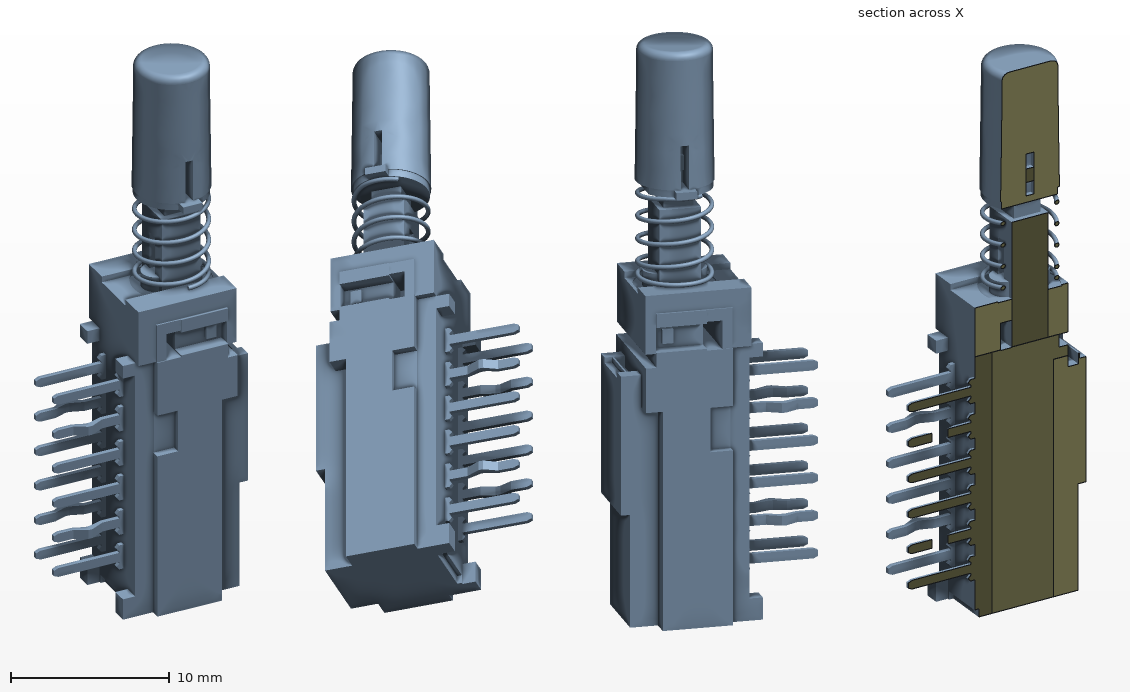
import cadquery as cq
import math


frame_half_x = 3.48
frame_front = -4.1
frame_back = 2.85
frame_bottom = 18.35
frame_top = 22.25
pad_half_x = 3.6
groove_half_x = 1.65
groove_floor = 21.85
seat_radius = 2.65
seat_depth = 0.08
boss_radius = 1.0
boss_y = 1.1
boss_top = 22.83
slot_front = -2.15
slot_top = 20.25

shell_width = 7.3
shell_half_x = shell_width / 2
shell_front = -2.85
shell_low_back = 1.75
shell_high_back = frame_back
shell_wide_z = 14.55
shell_shoulder_z = 17.5
tongue_front = -1.15
tongue_back = 2.15
tongue_top = 21.05
tongue_inner_x = 2.35
pocket_floor_x = 2.72
pocket_bottom = 18.48
pocket_top = 20.15
peg_height = 0.38
peg_front = 0.9
peg_back = 1.62
peg_bottom = 18.85
peg_top = 19.8

base_half_x = 3.02
base_front = frame_front
foot_front = -4.95
foot_inner_x = 1.95
top_foot_height = 0.9
bottom_foot_height = 1.47
base_notch_half_x = 1.8
base_notch_height = 0.55
base_notch_depth = 0.3
tab_inner_x = 2.65
tab_outer_x = 3.1
tab_back = -1.35
tab_bottom = 11.6
tab_top = 14.55

pin_rows = 6
pin_pitch = 2.5
first_pin_z = 3.55
pin_x = 1.25
pin_thickness = 0.3
pin_half_height = 0.32
pin_tip = -9.0
pin_tip_taper_length = 0.3
pin_tip_half_height = 0.2
kinked_rows = (1, 4)
kink_start = -5.6
kink_peak_near = -6.5
kink_peak_far = -6.8
kink_end = -7.65
kink_outer_offset = 0.45
kink_inner_offset = 0.3
shoulder_front = -4.4
barb_front = -4.57
shoulder_half_height = 0.87
barb_half_height = 0.65
barb_inner_half_height = 0.45

cover_half_x = 2.45
cover_thin_back = 3.55
cover_back = 4.15
cover_step_z = 7.5
cover_top = 16.7
recess_half_x = 1.55
lip_front = 3.65
recess_depth = 0.75
lip_drop = 0.38

shaft_half_x = 1.4
shaft_half_y = 1.35
neck_half_x = 0.95
neck_half_y = 1.0
shaft_shoulder_z = 27.17
shaft_groove_half_x = 0.38
shaft_groove_depth = 0.45
shaft_groove_bottom = boss_top
shaft_groove_top = 25.45
catch_reach = 0.35
catch_bottom = 29.65
catch_top = 30.65

cap_top = 37.8
cap_bottom = 28.25
rim_top = 28.75
rim_radius = 2.45
rim_back = 2.05
cap_low_radius = 2.55
cap_high_radius = 2.4
cap_fillet = 0.5
cap_slot_half_y = 0.25
cap_slot_top = 31.65
wing_half_x = 3.02
wing_half_y = 0.68

wire_radius = 0.15
coil_radius = 2.35
coil_pitch = 1.5
ramp_start_angle = 180
ramp_start_z = 22.2
spring_start_angle = 0
spring_end_angle = 1650
spring_angle_step = 15


def block(x_range, y_range, z_range):
    """Box between the given limits along each axis."""
    (x0, x1), (y0, y1), (z0, z1) = x_range, y_range, z_range
    return cq.Workplane("XY").box(x1 - x0, y1 - y0, z1 - z0, centered=False).translate((x0, y0, z0))


def both_sides(shape):
    """The shape together with its mirror image across X = 0."""
    return shape.union(shape.mirror("YZ"))


def mirrored_block(x_range, y_range, z_range):
    return both_sides(block(x_range, y_range, z_range))


def centred_block(half_x, y_range, z_range):
    return block((-half_x, half_x), y_range, z_range)


def shaft_core():
    """Square shaft with its thinner neck, without the groove."""
    y_limits = (-shaft_half_y, shaft_half_y)
    body = centred_block(shaft_half_x, y_limits, (frame_bottom, shaft_shoulder_z))
    neck = centred_block(neck_half_x, (-neck_half_y, neck_half_y), (shaft_shoulder_z, cap_slot_top))
    return body.union(neck)


def make_shaft():
    groove = centred_block(
        shaft_groove_half_x,
        (-shaft_half_y, -shaft_half_y + shaft_groove_depth),
        (shaft_groove_bottom, shaft_groove_top),
    )
    catches = mirrored_block(
        (neck_half_x, neck_half_x + catch_reach),
        (-cap_slot_half_y, cap_slot_half_y),
        (catch_bottom, catch_top),
    )
    return shaft_core().cut(groove).union(catches)


def make_cap():
    sleeve = (
        cq.Workplane("XZ")
        .polyline([(0, rim_top), (cap_low_radius, rim_top), (cap_high_radius, cap_top), (0, cap_top)])
        .close()
        .revolve(360, (0, 0), (0, 1))
        .faces(">Z")
        .edges()
        .fillet(cap_fillet)
    )
    rim = cq.Workplane("XY").workplane(offset=cap_bottom).circle(rim_radius).extrude(rim_top - cap_bottom)
    rim_flat = centred_block(cap_low_radius, (rim_back, cap_low_radius), (cap_bottom, rim_top))
    wings = centred_block(wing_half_x, (-wing_half_y, wing_half_y), (cap_bottom, rim_top))
    slots = centred_block(cap_low_radius, (-cap_slot_half_y, cap_slot_half_y), (rim_top, cap_slot_top))
    return sleeve.union(rim.cut(rim_flat)).union(wings).cut(slots).cut(shaft_core())


def spring_point(angle):
    """Point on the wire's centre line; the ends lie flat against the frame and the cap."""
    turn = math.radians(angle)
    ramp_height = ramp_start_z + coil_pitch * (angle - ramp_start_angle) / 360
    height = min(max(ramp_height, frame_top + wire_radius), cap_bottom - wire_radius)
    return (coil_radius * math.cos(turn), coil_radius * math.sin(turn), height)


def make_spring():
    angles = range(spring_start_angle, spring_end_angle + 1, spring_angle_step)
    path = cq.Workplane("XY").spline([spring_point(angle) for angle in angles])
    wire_end = cq.Plane(origin=path.val().startPoint(), normal=path.val().tangentAt(0))
    return cq.Workplane(wire_end).circle(wire_radius).sweep(path, isFrenet=True)


def tongue_blocks():
    """The two snap tongues of the shell, before their pockets."""
    return mirrored_block(
        (tongue_inner_x, shell_half_x), (tongue_front, tongue_back), (frame_bottom, tongue_top)
    )


def make_frame():
    body = centred_block(frame_half_x, (frame_front, frame_back), (frame_bottom, frame_top))
    pads = mirrored_block(
        (frame_half_x, pad_half_x), (shell_front, tongue_front), (frame_bottom, tongue_top)
    )
    groove = centred_block(groove_half_x, (frame_front, frame_back), (groove_floor, frame_top))
    seat_floor = groove_floor - seat_depth
    seat = (
        cq.Workplane("XY").workplane(offset=seat_floor).circle(seat_radius).extrude(seat_depth)
        .intersect(centred_block(groove_half_x, (-seat_radius, seat_radius), (seat_floor, groove_floor)))
    )
    bosses = (
        cq.Workplane("XY").workplane(offset=seat_floor)
        .pushPoints([(0, -boss_y), (0, boss_y)])
        .circle(boss_radius)
        .extrude(boss_top - seat_floor)
    )
    side_slot = centred_block(shell_half_x, (slot_front, tongue_front), (frame_bottom, slot_top))
    frame = body.union(pads).cut(groove).cut(seat).union(bosses)
    return frame.cut(tongue_blocks()).cut(side_slot).cut(shaft_core())


def cover_outline():
    """Back cover before its top recess."""
    thin = centred_block(cover_half_x, (shell_low_back, cover_thin_back), (0, cover_top))
    thick = centred_block(cover_half_x, (cover_thin_back, cover_back), (cover_step_z, cover_top))
    return thin.union(thick)


def make_back_cover():
    recess = centred_block(
        recess_half_x, (shell_high_back, cover_thin_back), (cover_top - recess_depth, cover_top)
    )
    lip = centred_block(recess_half_x, (lip_front, cover_back), (cover_top - lip_drop, cover_top))
    return cover_outline().cut(recess).cut(lip)


def make_shell():
    low = centred_block(shell_half_x, (shell_front, shell_low_back), (0, shell_wide_z))
    wide = centred_block(shell_half_x, (shell_front, shell_high_back), (shell_wide_z, shell_shoulder_z))
    shoulder = centred_block(shell_half_x, (shell_front, tongue_back), (shell_shoulder_z, frame_bottom))
    pockets = mirrored_block(
        (pocket_floor_x, shell_half_x), (tongue_front, tongue_back), (pocket_bottom, pocket_top)
    )
    pegs = mirrored_block(
        (pocket_floor_x, pocket_floor_x + peg_height), (peg_front, peg_back), (peg_bottom, peg_top)
    )
    tab_notches = mirrored_block(
        (tab_inner_x, shell_half_x), (shell_front, tab_back), (tab_bottom, tab_top)
    )
    shell = low.union(wide).union(shoulder).union(tongue_blocks()).cut(pockets).union(pegs)
    return shell.cut(tab_notches).cut(cover_outline())


def pin_side_profile():
    """Barbed shoulder and tapered tip, as a slab wide enough to hold a kink."""
    upper = [
        (base_front, shoulder_half_height),
        (shoulder_front, shoulder_half_height),
        (barb_front, barb_half_height),
        (shoulder_front, barb_inner_half_height),
        (shoulder_front, pin_half_height),
        (pin_tip + pin_tip_taper_length, pin_half_height),
        (pin_tip, pin_tip_half_height),
    ]
    lower = [(y, -z) for y, z in reversed(upper)]
    slab_half_width = pin_thickness + kink_outer_offset
    return cq.Workplane("YZ").polyline(upper + lower).close().extrude(slab_half_width, both=True)


def pin_edge(x, kink_offset):
    """Long edge of a pin from base to tip, bowing to +X by the kink offset."""
    kink = [
        (x, kink_start),
        (x + kink_offset, kink_peak_near),
        (x + kink_offset, kink_peak_far),
        (x, kink_end),
    ]
    return [(x, base_front), *kink, (x, pin_tip)]


def pin_plan(kinked):
    """Strip followed by a pin in the XY plane."""
    half_thickness = pin_thickness / 2
    if kinked:
        outer = pin_edge(half_thickness, kink_outer_offset)
        inner = pin_edge(-half_thickness, kink_inner_offset)
    else:
        outer = [(half_thickness, base_front), (half_thickness, pin_tip)]
        inner = [(-half_thickness, base_front), (-half_thickness, pin_tip)]
    outline = outer + inner[::-1]
    return cq.Workplane("XY").polyline(outline).close().extrude(shoulder_half_height, both=True)


def make_base():
    plate = centred_block(base_half_x, (base_front, shell_front), (0, frame_bottom))
    notch_back = base_front + base_notch_depth
    notch = centred_block(base_notch_half_x, (base_front, notch_back), (0, base_notch_height))
    tabs = mirrored_block((tab_inner_x, tab_outer_x), (shell_front, tab_back), (tab_bottom, tab_top))
    base = plate.cut(notch).union(tabs)
    for foot_z in [(0, bottom_foot_height), (frame_bottom - top_foot_height, frame_bottom)]:
        base = base.union(mirrored_block((foot_inner_x, base_half_x), (foot_front, base_front), foot_z))
    for row in range(pin_rows):
        pin = pin_side_profile().intersect(pin_plan(row in kinked_rows))
        base = base.union(both_sides(pin.translate((pin_x, 0, first_pin_z + row * pin_pitch))))
    return base


cap = make_cap()
spring = make_spring()
shaft = make_shaft()
frame = make_frame()
shell = make_shell()
base = make_base()
back_cover = make_back_cover()

result = cq.Compound.makeCompound([
    cap.val(),
    spring.val(),
    shaft.val(),
    frame.val(),
    shell.val(),
    base.val(),
    back_cover.val(),
])